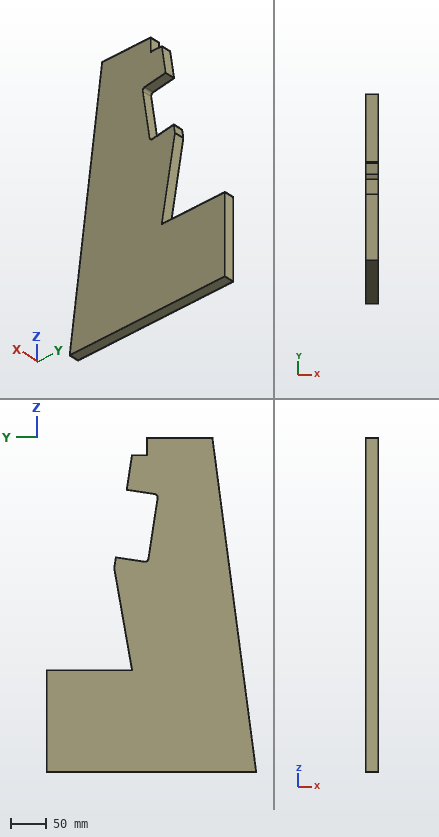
import cadquery as cq
import math

thickness = 18.0
base_length = 299.5
height = 477.5

foot_height = 145.5
foot_inner_y = 177.5
top_edge_y = 62.5

step_y = 156.0
step_z = 452.5

slot_tilt = math.radians(8.6)
slot_corner_y = 140.5
slot_corner_z = 396.5
slot_width = 97.5
upper_depth = 45.5
lower_depth = 46.5
nose_length = 15.8
slot_corner_radius = 5.0


def slot_point(outward, downward):
    """Map distances along the tilted slot axes to plate Y and Z."""
    y = slot_corner_y + outward * math.cos(slot_tilt) + downward * math.sin(slot_tilt)
    z = slot_corner_z + outward * math.sin(slot_tilt) - downward * math.cos(slot_tilt)
    return y, z


upper_inner = slot_point(0, 0)
lower_inner = slot_point(0, slot_width)
lip_tip = slot_point(upper_depth, 0)
nose_top = slot_point(lower_depth, slot_width)
nose_bottom = slot_point(lower_depth, slot_width + nose_length)

lip_top_y = lip_tip[0] - (step_z - lip_tip[1]) * math.tan(slot_tilt)

outline = [
    (0, 0),
    (top_edge_y, height),
    (step_y, height),
    (step_y, step_z),
    (lip_top_y, step_z),
    lip_tip,
    upper_inner,
    lower_inner,
    nose_top,
    nose_bottom,
    (foot_inner_y, foot_height),
    (base_length, foot_height),
    (base_length, 0),
]

plate = cq.Workplane("YZ").polyline(outline).close().extrude(thickness)

for corner_y, corner_z in (upper_inner, lower_inner):
    corner = cq.selectors.NearestToPointSelector((thickness / 2, corner_y, corner_z))
    plate = plate.edges("|X").edges(corner).fillet(slot_corner_radius)

result = plate